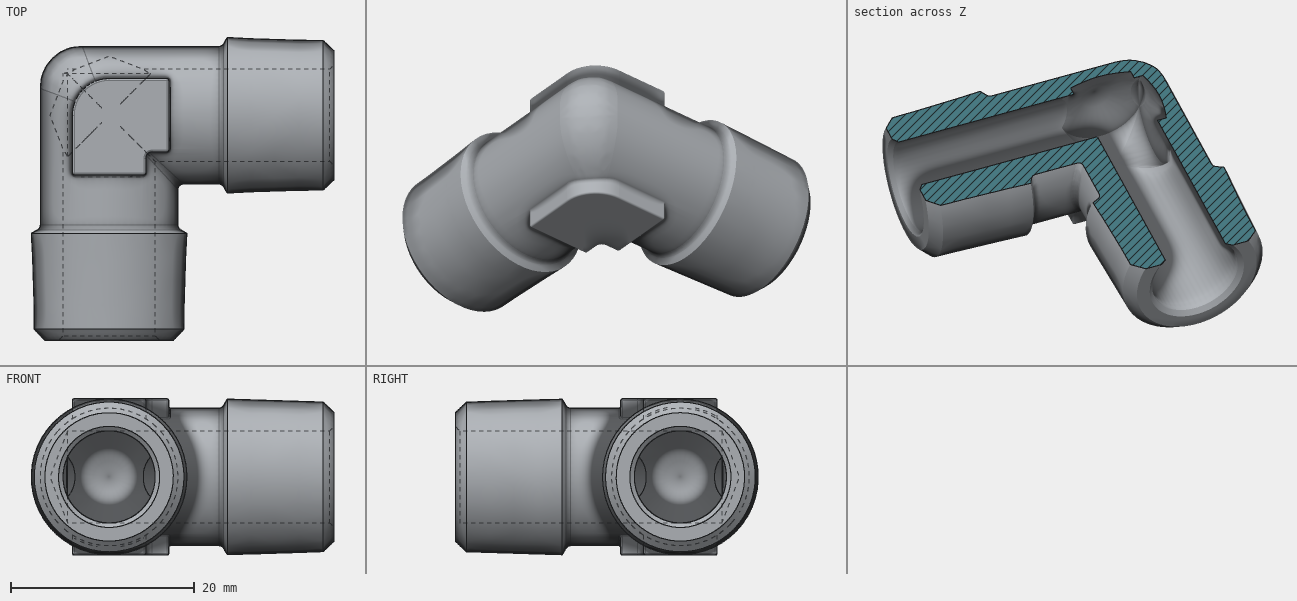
import cadquery as cq
import math

arm_length = 24.5
body_radius = 7.5
outer_corner_radius = 4.45
inner_corner_radius = 0.6

thread_radius = 8.47
thread_length = 11.65
thread_taper = 1 / 32
end_chamfer_length = 1.22
end_face_radius = 7.0
shoulder_angle = 60
shoulder_fillet = 0.6

bore_radius = 5.0
bore_overrun = 4.52
drill_tip_depth = 1.9
mouth_radius = 5.5
mouth_depth = 0.5

pad_height = 8.5
pad_back = 4.0
pad_front = 6.5
pad_notch_radius = 0.7
pad_edge_fillet = 0.2
pad_root_fillet = 0.2

margin = 0.03

chamfer_start = arm_length - end_chamfer_length
thread_start = arm_length - thread_length
thread_end_radius = thread_radius - thread_taper * (chamfer_start - thread_start)
shoulder_length = (thread_radius - body_radius) / math.tan(math.radians(shoulder_angle))
shoulder_start = thread_start - shoulder_length


def along_x(profile):
    """Revolve a half profile of (position, radius) points about the X axis."""
    return cq.Workplane("XZ").polyline(profile).close().revolve(360, (0, 0, 0), (1, 0, 0))


def along_minus_y(solid):
    """Turn a solid on the X arm half a turn about the mitre line, onto the -Y arm."""
    return solid.rotate((0, 0, 0), (1, -1, 0), 180)


def mitred_body():
    """Two plain pipes that meet at a sharp mitre."""
    reach = 2 * body_radius
    pipe = along_x([(-reach, 0), (-reach, body_radius), (thread_start, body_radius), (thread_start, 0)])
    mitre_side = (
        cq.Workplane("XY")
        .polyline([(-reach, reach), (arm_length, reach), (arm_length, -arm_length)])
        .close()
        .extrude(reach, both=True)
    )
    half = pipe.intersect(mitre_side)
    return half.union(along_minus_y(half))


def upright_edge(x, y):
    """Pick the vertical edge of the pad block at the given corner."""
    return cq.selectors.NearestToPointSelector((x, y, 0))


def pads():
    """Pad with a round outer corner and a notched inner corner, through the full height."""
    arc_middle = pad_back * math.sqrt(0.5)
    outline = (
        cq.Workplane("XY")
        .moveTo(-pad_back, 0)
        .threePointArc((-arc_middle, arc_middle), (0, pad_back))
        .lineTo(pad_front, pad_back)
        .lineTo(pad_front, -pad_back)
        .lineTo(pad_back, -pad_back)
        .lineTo(pad_back, -pad_front)
        .lineTo(-pad_back, -pad_front)
        .close()
    )
    block = outline.extrude(pad_height, both=True)
    sharp_corners = [
        (pad_front, pad_back),
        (pad_front, -pad_back),
        (pad_back, -pad_front),
        (-pad_back, -pad_front),
    ]
    for x, y in sharp_corners:
        block = block.edges(upright_edge(x, y)).fillet(pad_edge_fillet)
    block = block.edges(upright_edge(pad_back, -pad_back)).fillet(pad_notch_radius)
    return block.faces("|Z").edges().fillet(pad_edge_fillet)


def mitre_edge(side):
    """Pick the mitre edge at the outer (-1) or inner (1) corner."""
    corner = side * body_radius
    return cq.selectors.NearestToPointSelector((corner, -corner, 0))


def pad_roots():
    """Pick the edges along which both pads run into the pipes."""
    low_corner = (-pad_back - margin, -pad_front - margin)
    high_corner = (pad_front + margin, pad_back + margin)
    top = body_radius + margin
    picker = cq.selectors.BoxSelector
    upper = picker((*low_corner, margin), (*high_corner, top), boundingbox=True)
    lower = picker((*low_corner, -top), (*high_corner, -margin), boundingbox=True)
    return upper + lower


def thread():
    """Thread blank with its back shoulder and end chamfer."""
    collar_start = shoulder_start - shoulder_fillet
    blank = along_x(
        [
            (collar_start, 0),
            (collar_start, body_radius),
            (shoulder_start, body_radius),
            (thread_start, thread_radius),
            (chamfer_start, thread_end_radius),
            (arm_length, end_face_radius),
            (arm_length, 0),
        ]
    )
    root = cq.selectors.NearestToPointSelector((shoulder_start, 0, body_radius))
    return blank.edges("%CIRCLE").edges(root).fillet(shoulder_fillet)


def bore():
    """Blind bore with a drill tip and a countersunk mouth."""
    return along_x(
        [
            (-bore_overrun - drill_tip_depth, 0),
            (-bore_overrun, bore_radius),
            (arm_length - mouth_depth, bore_radius),
            (arm_length, mouth_radius),
            (arm_length, 0),
        ]
    )


body = mitred_body().union(pads())
body = body.edges(mitre_edge(-1)).fillet(outer_corner_radius)
body = body.edges(mitre_edge(1)).fillet(inner_corner_radius)
body = body.edges(pad_roots()).fillet(pad_root_fillet)

for feature in (thread(), along_minus_y(thread())):
    body = body.union(feature)
for feature in (bore(), along_minus_y(bore())):
    body = body.cut(feature)
result = body